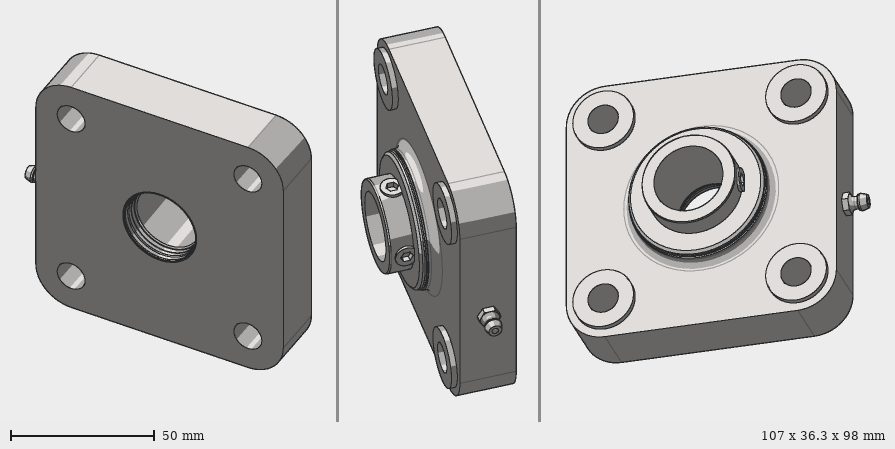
import cadquery as cq
import math


plate_side = 98.0
plate_thick = 20.5
hole_spacing = 70.0
hole_dia = 11.0
corner_radius = (plate_side - hole_spacing) / 2

pad_dia = 22.0
pad_height = 2.1

hub_radius = 25.1
hub_top = 24.5
hub_fillet = 3.0

opening_radius = 14.5
opening_depth = 0.3
lip_radius = 14.1
land_radius = 13.9
lip_taper = 0.4
land_end = 2.4
throat_radius = 13.6
throat_depth = 4.3
seat_edge_radius = 13.4
seat_radius = 23.5
seat_floor = 6.0

total_depth = 36.3
bore_radius = 12.5
bore_chamfer = 0.5
neck_radius = 24.4
rim_bottom = 25.1
rim_lip_radius = 24.9
rim_radius = 24.6
rim_lip_top = 25.7
rim_top = 27.5
rim_chamfer = 1.0
collar_radius = 17.0
collar_chamfer_length = 0.6
collar_chamfer_width = 0.2

screw_radius = 4.2
screw_y = 30.2
screw_reach = 17.7
socket_flats = 4.0
socket_depth = 2.1

nipple_y = plate_thick / 2
nipple_z = -4.5
overall_width = 107.0
nipple_length = overall_width - plate_side
hex_flats = 7.0
hex_thick = 2.2
flare_radius = 3.4
neck_start = 4.0
neck_end = 5.2
nipple_neck_radius = 2.2
shoulder_radius = 2.9
shoulder_length = 0.2
head_widest = 6.1
head_radius = 3.1
head_end = 8.6
head_end_radius = 2.4
head_bulge = 0.1
tip_ball_radius = 1.2


def ring(points):
    """Turn a closed (radius, Y) outline about the shaft axis."""
    return cq.Workplane("XY").polyline(points).close().revolve(360, (0, 0, 0), (0, 1, 0))


def xz_plane(y):
    """Workplane at height y whose extrusions go toward +Y; its local y is -Z."""
    return cq.Workplane(cq.Plane(origin=(0, y, 0), xDir=(1, 0, 0), normal=(0, 1, 0)))


def hex_corner_dia(flats):
    return flats / math.cos(math.pi / 6)


def make_plate():
    plate = xz_plane(0).rect(plate_side, plate_side).extrude(plate_thick)
    return plate.edges("|Y").fillet(corner_radius)


def make_pads():
    pads = xz_plane(plate_thick).rect(hole_spacing, hole_spacing, forConstruction=True)
    return pads.vertices().circle(pad_dia / 2).extrude(pad_height)


def make_hub():
    """Hub standing on the plate, with a concave fillet at its foot."""
    diagonal = math.sqrt(0.5)
    fillet_top = plate_thick + hub_fillet
    fillet_outer = hub_radius + hub_fillet
    fillet_mid = (fillet_outer - hub_fillet * diagonal, fillet_top - hub_fillet * diagonal)
    return (
        cq.Workplane("XY")
        .moveTo(0, 0)
        .lineTo(fillet_outer, 0)
        .lineTo(fillet_outer, plate_thick)
        .threePointArc(fillet_mid, (hub_radius, fillet_top))
        .lineTo(hub_radius, hub_top)
        .lineTo(0, hub_top)
        .close()
        .revolve(360, (0, 0, 0), (0, 1, 0))
    )


def make_housing():
    bolt_holes = (
        xz_plane(0)
        .rect(hole_spacing, hole_spacing, forConstruction=True)
        .vertices()
        .circle(hole_dia / 2)
        .extrude(plate_thick + pad_height)
    )
    bearing_bore = ring([
        (0, 0),
        (opening_radius, 0),
        (opening_radius, opening_depth),
        (lip_radius, opening_depth),
        (land_radius, opening_depth + lip_taper),
        (land_radius, land_end),
        (throat_radius, land_end + lip_taper),
        (throat_radius, throat_depth),
        (seat_edge_radius, throat_depth),
        (seat_edge_radius, seat_floor),
        (seat_radius, seat_floor),
        (seat_radius, hub_top),
        (0, hub_top),
    ])
    return make_plate().union(make_pads()).union(make_hub()).cut(bolt_holes).cut(bearing_bore)


def add_set_screw(insert, direction):
    """Add a set screw that points outward from the shaft axis along `direction`."""
    wall_middle = (bore_radius + collar_radius) / 2
    base = cq.Vector(*direction) * wall_middle + cq.Vector(0, screw_y, 0)
    end = cq.Vector(*direction) * screw_reach + cq.Vector(0, screw_y, 0)
    axis_y = (0, 1, 0)
    screw = (
        cq.Workplane(cq.Plane(origin=base, xDir=axis_y, normal=direction))
        .circle(screw_radius)
        .extrude(screw_reach - wall_middle)
    )
    socket = (
        cq.Workplane(cq.Plane(origin=end, xDir=axis_y, normal=direction))
        .polygon(6, hex_corner_dia(socket_flats))
        .extrude(-socket_depth)
    )
    return insert.union(screw).cut(socket)


def make_insert():
    """Bearing insert: seated ring, rim above the hub and collar with two set screws."""
    insert = ring([
        (bore_radius, seat_floor + bore_chamfer),
        (bore_radius + bore_chamfer, seat_floor),
        (seat_radius, seat_floor),
        (seat_radius, hub_top),
        (neck_radius, hub_top),
        (neck_radius, rim_bottom),
        (rim_lip_radius, rim_bottom),
        (rim_radius, rim_lip_top),
        (rim_radius, rim_top - rim_chamfer),
        (rim_radius - rim_chamfer, rim_top),
        (collar_radius, rim_top),
        (collar_radius, total_depth - collar_chamfer_length),
        (collar_radius - collar_chamfer_width, total_depth),
        (bore_radius, total_depth),
    ])
    for direction in [(-1, 0, 0), (0, 0, 1)]:
        insert = add_set_screw(insert, direction)
    return insert


def make_nipple():
    """Grease nipple: hexagon, flared neck, head and ball tip, along its local Z axis."""
    hexagon = cq.Workplane("XY").polygon(6, hex_corner_dia(hex_flats)).extrude(hex_thick)
    head_mid = ((head_radius + head_end_radius) / 2 + head_bulge, (head_widest + head_end) / 2)
    tip_height = nipple_length - head_end
    tip_sphere = (tip_ball_radius**2 + tip_height**2) / (2 * tip_height)
    turned = (
        cq.Workplane("XZ")
        .moveTo(0, nipple_length)
        .radiusArc((tip_ball_radius, head_end), tip_sphere)
        .lineTo(head_end_radius, head_end)
        .threePointArc(head_mid, (head_radius, head_widest))
        .lineTo(shoulder_radius, neck_end + shoulder_length)
        .lineTo(shoulder_radius, neck_end)
        .lineTo(nipple_neck_radius, neck_end)
        .lineTo(nipple_neck_radius, neck_start)
        .tangentArcPoint((flare_radius, hex_thick), relative=False)
        .lineTo(flare_radius, 0)
        .lineTo(0, 0)
        .close()
        .revolve(360, (0, 0, 0), (0, 1, 0))
    )
    seat = cq.Plane(origin=(-plate_side / 2, nipple_y, nipple_z), xDir=(0, 1, 0), normal=(-1, 0, 0))
    return cq.Workplane(hexagon.union(turned).val().located(cq.Location(seat)))


housing = make_housing()
insert = make_insert()
nipple = make_nipple()

result = cq.Compound.makeCompound([housing.val(), insert.val(), nipple.val()])